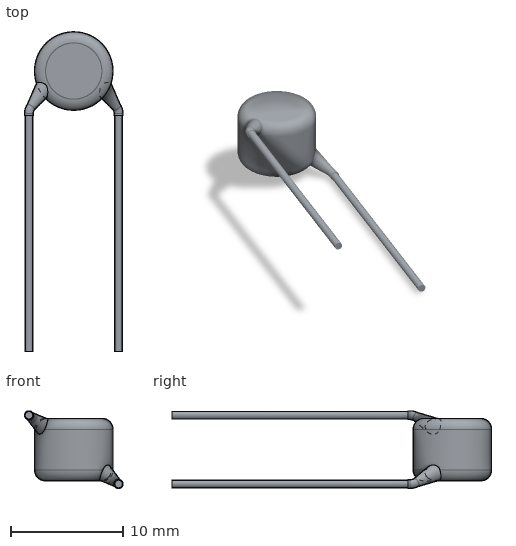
import cadquery as cq
import math

BODY_DIAMETER = 7.0
BODY_HEIGHT = 5.6
BODY_EDGE_RADIUS = 1.0

LEAD_DIAMETER = 0.68
LEAD_SPACING_X = 7.98
LEAD_SPACING_Z = 6.13
LEAD_LENGTH = 21.03
OVERALL_LENGTH = 28.5

TAIL_DIAMETER = 0.8
COLLAR_LENGTH = 0.2
BEND_RADIUS = 0.8
BEND_ANGLE = math.radians(41)
BEND_ROLL = math.radians(38)
CONE_HALF_ANGLE = math.radians(10)
CONE_LENGTH = 2.56

LEAD_TIP_Y = BODY_DIAMETER / 2 - OVERALL_LENGTH
TAIL_END_Y = LEAD_TIP_Y + LEAD_LENGTH
TAIL_END = cq.Vector(-LEAD_SPACING_X / 2, TAIL_END_Y, LEAD_SPACING_Z / 2)

ALONG_Y = cq.Vector(0, 1, 0)
INWARD = cq.Vector(math.cos(BEND_ROLL), 0, -math.sin(BEND_ROLL))

SIDE_ANGLES = (0, 180)


def turned_about_y(shape, angle):
    return shape.rotate((0, 0, 0), (0, 1, 0), angle)


def make_disc():
    bottom = cq.Workplane("XY", origin=(0, 0, -BODY_HEIGHT / 2))
    disc = bottom.circle(BODY_DIAMETER / 2).extrude(BODY_HEIGHT)
    return disc.edges("%CIRCLE").fillet(BODY_EDGE_RADIUS)


def make_tail():
    """Collar, elbow and widening cone, from the lead at upper left into the disc."""
    def bend_point(angle):
        along = COLLAR_LENGTH + BEND_RADIUS * math.sin(angle)
        inward = BEND_RADIUS * (1 - math.cos(angle))
        return (inward, along)

    bend_plane = cq.Plane(TAIL_END, xDir=INWARD, normal=INWARD.cross(ALONG_Y))
    path = (
        cq.Workplane(bend_plane)
        .lineTo(0, COLLAR_LENGTH)
        .threePointArc(bend_point(BEND_ANGLE / 2), bend_point(BEND_ANGLE))
    )
    section_plane = cq.Plane(TAIL_END, xDir=INWARD, normal=ALONG_Y)
    elbow = cq.Workplane(section_plane).circle(TAIL_DIAMETER / 2).sweep(path)

    cone = cq.Solid.makeCone(
        TAIL_DIAMETER / 2,
        TAIL_DIAMETER / 2 + CONE_LENGTH * math.tan(CONE_HALF_ANGLE),
        CONE_LENGTH,
        pnt=bend_plane.toWorldCoords(bend_point(BEND_ANGLE)),
        dir=ALONG_Y * math.cos(BEND_ANGLE) + INWARD * math.sin(BEND_ANGLE),
    )
    return elbow.union(cq.Workplane(cone))


def make_coated_body():
    body = make_disc()
    tail = make_tail()
    for angle in SIDE_ANGLES:
        body = body.union(turned_about_y(tail, angle))
    return body


def make_lead(angle):
    """Round wire that butts against the collar of its tail."""
    lead_plane = cq.Plane(TAIL_END, xDir=(1, 0, 0), normal=ALONG_Y * -1)
    lead = cq.Workplane(lead_plane).circle(LEAD_DIAMETER / 2).extrude(LEAD_LENGTH)
    return turned_about_y(lead, angle)


coated_body = make_coated_body()
leads = [make_lead(angle) for angle in SIDE_ANGLES]

result = cq.Compound.makeCompound([coated_body.val(), *[lead.val() for lead in leads]])